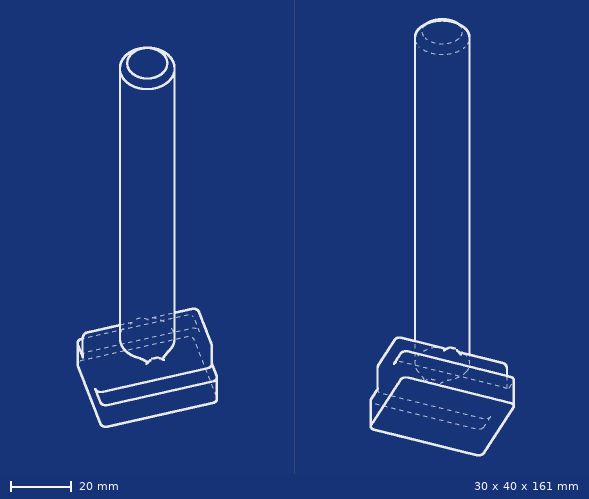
import cadquery as cq

total_height = 161.0
base_width = 30.0
base_length = 40.0

base_height = 11.0
head_height = 22.0
neck_width = 18.0
edge_radius = 2.0

shank_diameter = neck_width
tip_chamfer_height = 2.5
tip_chamfer_inset = 2.4

runout_flare = 0.5


def make_base():
    """Wide slab with rounded vertical corners."""
    slab = cq.Workplane("XY").box(base_width, base_length, base_height, centered=(True, True, False))
    return slab.edges("|Z").fillet(edge_radius)


def make_neck():
    """Block standing on the base, rounded on its vertical and top edges."""
    block = cq.Workplane("XY").box(neck_width, base_length, head_height, centered=(True, True, False))
    return block.edges("|Z or >Z").fillet(edge_radius)


def make_shank():
    """Round shank through the head, with a chamfered free end."""
    shank = cq.Workplane("XY").circle(shank_diameter / 2).extrude(total_height)
    return shank.faces(">Z").chamfer(tip_chamfer_height, tip_chamfer_inset)


def make_runout():
    """Flare below the shank foot, cut flush with the neck sides, where the long roundings die out."""
    flare = (
        cq.Workplane("XY")
        .workplane(offset=head_height - edge_radius)
        .circle(shank_diameter / 2 + runout_flare)
        .workplane(offset=edge_radius)
        .circle(shank_diameter / 2)
        .loft()
    )
    neck_envelope = cq.Workplane("XY").box(neck_width, base_length, head_height, centered=(True, True, False))
    return flare.intersect(neck_envelope)


result = make_base().union(make_neck()).union(make_runout()).union(make_shank())